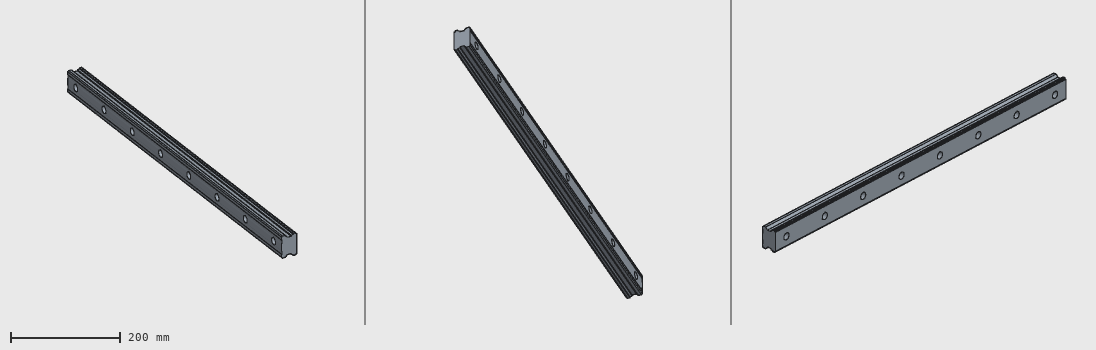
import cadquery as cq

length = 795.0
height = 32.0
width = 45.0

half_height = height / 2
half_width = width / 2

hole_diameter = 14.0
hole_pitch = 105.0
hole_count = 8

top_face_half_width = 20.2
shoulder_y = 14.0
shoulder_half_width = 20.7
ridge_top_y = 13.4
ridge_bottom_y = 8.8

ledge_outer_y = 8.4
ledge_outer_half_width = 20.8
ledge_inner_y = 4.5
ledge_inner_half_width = 19.6

neck_half_width = 17.7
neck_top_y = 4.2
neck_bottom_y = -3.8
foot_flank_y = -8.0
foot_chamfer = 2.0

foot_groove_depth = 0.4
foot_groove_outer_z = 14.4
foot_groove_floor_z = 8.0
foot_groove_inner_z = 6.0


def rail_profile():
    """Closed Y-Z outline: one side from head to foot, then its mirror image."""
    foot_groove_floor_y = -half_height + foot_groove_depth
    head = [
        (half_height, top_face_half_width),
        (shoulder_y, shoulder_half_width),
        (ridge_top_y, half_width),
        (ridge_bottom_y, half_width),
        (ledge_outer_y, ledge_outer_half_width),
        (ledge_inner_y, ledge_inner_half_width),
    ]
    neck_and_foot = [
        (neck_top_y, neck_half_width),
        (neck_bottom_y, neck_half_width),
        (foot_flank_y, half_width),
        (-half_height + foot_chamfer, half_width),
        (-half_height, half_width - foot_chamfer),
    ]
    foot_groove = [
        (-half_height, foot_groove_outer_z),
        (foot_groove_floor_y, foot_groove_outer_z),
        (foot_groove_floor_y, foot_groove_floor_z),
        (-half_height, foot_groove_inner_z),
    ]
    side = head + neck_and_foot + foot_groove
    other_side = [(y, -z) for y, z in reversed(side)]
    return cq.Workplane("YZ").polyline(side + other_side).close()


def hole_row():
    """Cylinders that cut the row of mounting holes."""
    first_x = -(hole_count - 1) / 2 * hole_pitch
    centres = [(first_x + i * hole_pitch, 0) for i in range(hole_count)]
    return (
        cq.Workplane("XZ")
        .pushPoints(centres)
        .circle(hole_diameter / 2)
        .extrude(half_height, both=True)
    )


rail = rail_profile().extrude(length / 2, both=True)
result = rail.cut(hole_row())